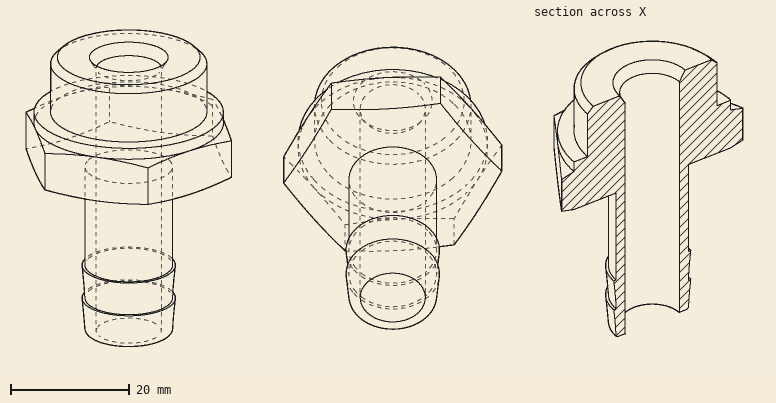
import cadquery as cq
import math

total_length = 50.0
hex_bottom = 30.0
hex_height = 8.0
collar_height = 2.0
hex_top = hex_bottom + hex_height
collar_top = hex_top + collar_height

across_flats = 32.0
across_corners = across_flats / math.cos(math.radians(30))
hex_bevel_angle = 15.0

spigot_diameter = 26.44
spigot_chamfer = 1.16

stem_diameter = 14.8
barb_diameter = 15.8
barb_pitch = 6.0
barb_count = 2
tip_round = 0.5

bore_diameter = 11.0
bore_mouth_diameter = 13.3
countersink_angle = 60.0


def make_hexagon():
    """Hexagon with corners on the Y axis, its corners bevelled by cones at both ends."""
    prism = (
        cq.Workplane("XY", origin=(0, 0, hex_bottom))
        .polygon(6, across_corners)
        .extrude(hex_height)
        .rotate((0, 0, 0), (0, 0, 1), 30)
    )
    flat_radius = across_flats / 2
    corner_radius = across_corners / 2
    bevel_drop = (corner_radius - flat_radius) * math.tan(math.radians(hex_bevel_angle))
    envelope = (
        cq.Workplane("XZ")
        .moveTo(0, hex_bottom)
        .lineTo(flat_radius, hex_bottom)
        .lineTo(corner_radius, hex_bottom + bevel_drop)
        .lineTo(corner_radius, hex_top - bevel_drop)
        .lineTo(flat_radius, hex_top)
        .lineTo(0, hex_top)
        .close()
        .revolve(360, (0, 0, 0), (0, 1, 0))
    )
    return prism.intersect(envelope)


def make_collar():
    """Round sealing collar on top of the hexagon."""
    return cq.Workplane("XY", origin=(0, 0, hex_top)).circle(across_flats / 2).extrude(collar_height)


def make_spigot():
    """Cylindrical spigot with a chamfered upper rim."""
    return (
        cq.Workplane("XY", origin=(0, 0, collar_top))
        .circle(spigot_diameter / 2)
        .extrude(total_length - collar_top)
        .faces(">Z")
        .chamfer(spigot_chamfer)
    )


def make_hose_tail():
    """Stem with tapered barbs that widen upwards, and a rounded tip."""
    stem_radius = stem_diameter / 2
    profile = (
        cq.Workplane("XZ")
        .moveTo(0, 0)
        .lineTo(stem_radius, 0)
    )
    for barb in range(1, barb_count + 1):
        barb_top = barb * barb_pitch
        profile = profile.lineTo(barb_diameter / 2, barb_top).lineTo(stem_radius, barb_top)
    return (
        profile.lineTo(stem_radius, hex_bottom)
        .lineTo(0, hex_bottom)
        .close()
        .revolve(360, (0, 0, 0), (0, 1, 0))
        .faces("<Z")
        .edges()
        .fillet(tip_round)
    )


def make_bore():
    """Through bore with a conical countersink at the spigot end."""
    bore_radius = bore_diameter / 2
    mouth_radius = bore_mouth_diameter / 2
    countersink_depth = (mouth_radius - bore_radius) / math.tan(math.radians(countersink_angle / 2))
    return (
        cq.Workplane("XZ")
        .moveTo(0, 0)
        .lineTo(bore_radius, 0)
        .lineTo(bore_radius, total_length - countersink_depth)
        .lineTo(mouth_radius, total_length)
        .lineTo(0, total_length)
        .close()
        .revolve(360, (0, 0, 0), (0, 1, 0))
    )


body = make_hexagon().union(make_collar()).union(make_spigot()).union(make_hose_tail())
result = body.cut(make_bore())